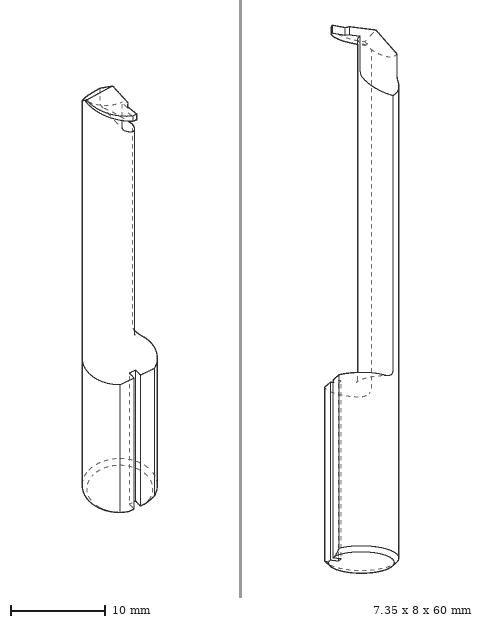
import cadquery as cq
import math

shank_radius = 4.0
shank_length = 20.0
total_length = 60.0
flat_x = 3.35
end_chamfer = 0.5
groove_width = 0.8
groove_floor_x = 2.45
oversize = 3 * shank_radius

neck_radius = 3.3
neck_right_x = 0.2
neck_center_x = neck_right_x - neck_radius
neck_fillet = 0.9

face_y = 0.15
face_end_z = total_length - 5.2
runout_angle = 45.0
runout_blend = 1.5

tip_x = 3.28
tip_y = 0.0
tip_width = 0.93
heel_point = (-1.8, -3.15)
flank_middle = (1.53, -2.3)
flank_end = (3.25, -0.5)
relief_slope = math.tan(math.radians(4.5))
bevel_start_x = -1.6

chip_start_x = 1.4
chip_deep_x = 1.75
chip_deep_y = -0.2


def make_bar():
    """Full-length round bar with a chamfered lower end."""
    bar = cq.Workplane("XY").circle(shank_radius).extrude(total_length)
    return bar.faces("<Z").chamfer(end_chamfer)


def make_neck_envelope():
    """Body of revolution: wide disc up to the shoulder, flaring into the neck cylinder."""
    flare_radius = neck_radius + neck_fillet
    arc_offset = neck_fillet * (1 - math.sqrt(0.5))
    return (
        cq.Workplane("XZ", origin=(neck_center_x, 0, 0))
        .lineTo(oversize, 0)
        .lineTo(oversize, shank_length)
        .lineTo(flare_radius, shank_length)
        .threePointArc(
            (neck_radius + arc_offset, shank_length + arc_offset),
            (neck_radius, shank_length + neck_fillet),
        )
        .lineTo(neck_radius, total_length)
        .lineTo(0, total_length)
        .close()
        .revolve(360, (0, 0, 0), (0, 1, 0))
    )


def make_head():
    """Slab with a curved flank whose underside rises away from the cutting face."""
    plan = (
        cq.Workplane("XY", origin=(0, 0, shank_length))
        .moveTo(heel_point[0], face_y)
        .lineTo(chip_start_x, face_y)
        .lineTo(chip_deep_x, chip_deep_y)
        .lineTo(tip_x, tip_y)
        .lineTo(*flank_end)
        .threePointArc(flank_middle, heel_point)
        .close()
        .extrude(total_length - shank_length)
    )
    underside_z = total_length - tip_width
    back_y = -shank_radius
    slab = (
        cq.Workplane("YZ", origin=(-oversize, 0, 0))
        .polyline([
            (face_y, underside_z),
            (face_y, total_length),
            (back_y, total_length),
            (back_y, underside_z + (face_y - back_y) * relief_slope),
        ])
        .close()
        .extrude(2 * oversize)
    )
    return plan.intersect(slab)


def make_face_cutter():
    """Removes the +Y half of the tip down to the sloped run-out."""
    slope_rise = oversize * math.tan(math.radians(runout_angle))
    cutter = (
        cq.Workplane("YZ", origin=(-oversize, 0, 0))
        .polyline([
            (face_y, total_length + oversize),
            (face_y, face_end_z),
            (face_y + oversize, face_end_z - slope_rise),
            (face_y + oversize, total_length + oversize),
        ])
        .close()
        .extrude(oversize + chip_start_x)
    )
    run_out_edge = cq.selectors.NearestToPointSelector((0, face_y, face_end_z))
    return cutter.edges("|X").edges(run_out_edge).fillet(runout_blend)


def space_above_tip(fall):
    """Corner points (X, Z) of the region above the bevel and top, lowered by fall."""
    top_z = total_length - fall
    bevel_run = oversize + bevel_start_x
    return [
        (-oversize, top_z - bevel_run),
        (bevel_start_x, top_z),
        (oversize, top_z),
        (oversize, top_z + oversize),
        (-oversize, top_z + oversize),
    ]


def make_relief_cutter():
    """Trims the top and the corner bevel, both falling away toward -Y."""
    return (
        cq.Workplane("XZ", origin=(0, face_y, 0))
        .polyline(space_above_tip(0))
        .close()
        .workplane(offset=oversize)
        .polyline(space_above_tip(oversize * relief_slope))
        .close()
        .loft(ruled=True)
    )


def make_side_cutter(x_start, width):
    """Box over the shank length, from x_start outward in +X and centred on Y."""
    return (
        cq.Workplane("XY")
        .box(oversize, width, shank_length, centered=(False, True, False))
        .translate((x_start, 0, 0))
    )


result = make_bar().intersect(make_neck_envelope())
result = result.cut(make_side_cutter(flat_x, 2 * oversize))
result = result.cut(make_side_cutter(groove_floor_x, groove_width))
result = result.cut(make_face_cutter())
result = result.union(make_head())
result = result.cut(make_relief_cutter())